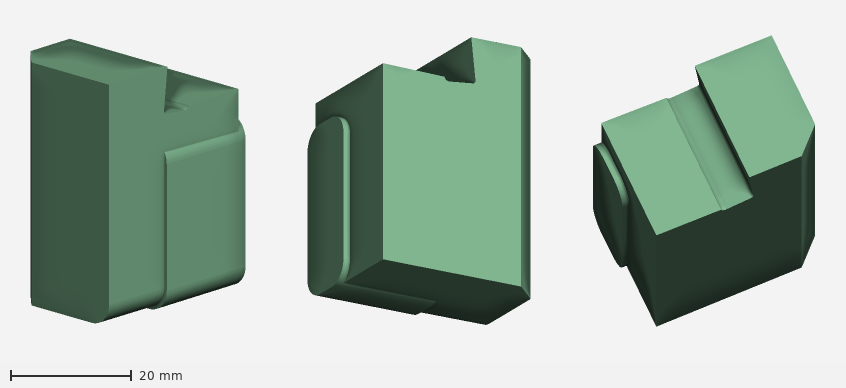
import cadquery as cq
import math

TOTAL_HEIGHT = 42.6
TOTAL_DEPTH = 32.2
TOTAL_WIDTH = 23

JAW_TURN = 0.6
JAW_FRONT_RIGHT_X = 22.32
JAW_BASE_Z = 0.43
JAW_DEPTH = 30.85
JAW_CORNER_RADIUS = 3.95
FRONT_CHAMFER = 4.65
TRIM_ALLOWANCE = 2.15

NOTCH_LEAN = 6.2
NOTCH_TOP_Y = 13.95
NOTCH_FLOOR_HEIGHT = 34.6
NOTCH_FLOOR_WIDTH = 5.03
NOTCH_WALL_RADIUS = 0.5
LIP_RUN = 1.02
LIP_HEIGHT = 34.7
BACK_LEDGE_HEIGHT = 34.97

INSERT_WIDTH = 11.93
INSERT_HEIGHT = 29.9
INSERT_DEPTH = 19.0
INSERT_CORNER_RADIUS = 3.95


def make_insert():
    """Rounded block flush with the outer right, back and bottom limits."""
    return (
        cq.Workplane("XY")
        .box(INSERT_WIDTH, INSERT_DEPTH, INSERT_HEIGHT, centered=False)
        .edges("|Y").fillet(INSERT_CORNER_RADIUS)
        .translate((TOTAL_WIDTH - INSERT_WIDTH, TOTAL_DEPTH - INSERT_DEPTH, 0))
    )


def make_jaw_blank():
    """Stepped Y-Z profile with its notch, extruded to the left from X = 0."""
    lean = math.radians(NOTCH_LEAN)
    wall_foot = (
        NOTCH_TOP_Y - (TOTAL_HEIGHT - NOTCH_FLOOR_HEIGHT) * math.tan(lean),
        NOTCH_FLOOR_HEIGHT,
    )
    floor_end = (
        wall_foot[0] + NOTCH_FLOOR_WIDTH * math.cos(lean),
        wall_foot[1] - NOTCH_FLOOR_WIDTH * math.sin(lean),
    )
    lip = (floor_end[0] + LIP_RUN, LIP_HEIGHT)
    length = JAW_FRONT_RIGHT_X + TRIM_ALLOWANCE
    blank = (
        cq.Workplane("YZ")
        .moveTo(0, JAW_BASE_Z)
        .lineTo(0, TOTAL_HEIGHT)
        .lineTo(NOTCH_TOP_Y, TOTAL_HEIGHT)
        .lineTo(*wall_foot)
        .lineTo(*floor_end)
        .tangentArcPoint(lip, relative=False)
        .lineTo(JAW_DEPTH, BACK_LEDGE_HEIGHT)
        .lineTo(JAW_DEPTH, JAW_BASE_Z)
        .close()
        .extrude(-length)
    )
    middle_x = -length / 2
    blank = (
        blank.edges(cq.NearestToPointSelector((middle_x, *wall_foot)))
        .fillet(NOTCH_WALL_RADIUS)
    )
    return blank.faces(">X").edges("<Z").fillet(JAW_CORNER_RADIUS)


def make_left_trim():
    """Everything left of X = 0, together with the front left chamfer."""
    return (
        cq.Workplane("XY")
        .polyline([
            (-2 * TRIM_ALLOWANCE, -TRIM_ALLOWANCE),
            (FRONT_CHAMFER + TRIM_ALLOWANCE, -TRIM_ALLOWANCE),
            (0, FRONT_CHAMFER),
            (0, TOTAL_DEPTH),
            (-2 * TRIM_ALLOWANCE, TOTAL_DEPTH),
        ])
        .close()
        .extrude(TOTAL_HEIGHT)
    )


def make_jaw(insert):
    """Turned and trimmed block with a recess that matches the insert."""
    turned_blank = (
        make_jaw_blank()
        .rotate((0, 0, 0), (0, 0, 1), -JAW_TURN)
        .translate((JAW_FRONT_RIGHT_X, 0, 0))
    )
    return turned_blank.cut(make_left_trim()).cut(insert)


insert = make_insert()
jaw = make_jaw(insert)

result = cq.Compound.makeCompound([jaw.val(), insert.val()])